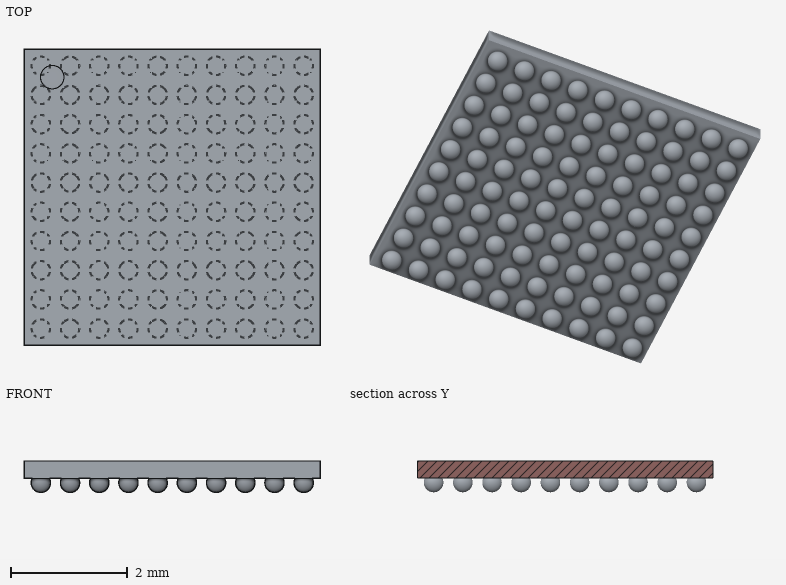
import cadquery as cq

body_side = 5.07
body_thickness = 0.3
total_height = 0.54

balls_per_side = 10
grid_span = 4.495
ball_pitch = grid_span / (balls_per_side - 1)
ball_diameter = 0.335
ball_radius = ball_diameter / 2
ball_drop = total_height - body_thickness

mark_diameter = 0.4
mark_inset = 0.48
mark_depth = 0.0025


def make_body():
    """Square plate with its underside on Z = 0."""
    return cq.Workplane("XY").box(body_side, body_side, body_thickness, centered=(True, True, False))


def make_mark():
    """Cutter for the pin 1 mark in the -X, +Y corner."""
    mark_offset = body_side / 2 - mark_inset
    return (
        cq.Workplane("XY", origin=(-mark_offset, mark_offset, body_thickness - mark_depth))
        .circle(mark_diameter / 2)
        .extrude(mark_depth)
    )


def make_balls():
    """Full grid of solder balls, each sinking slightly into the body."""
    ball = cq.Workplane("XY").sphere(ball_radius).val()
    ball_center_z = ball_radius - ball_drop
    return (
        cq.Workplane("XY", origin=(0, 0, ball_center_z))
        .rarray(ball_pitch, ball_pitch, balls_per_side, balls_per_side)
        .eachpoint(lambda place: ball.moved(place))
    )


result = make_body().cut(make_mark()).union(make_balls())